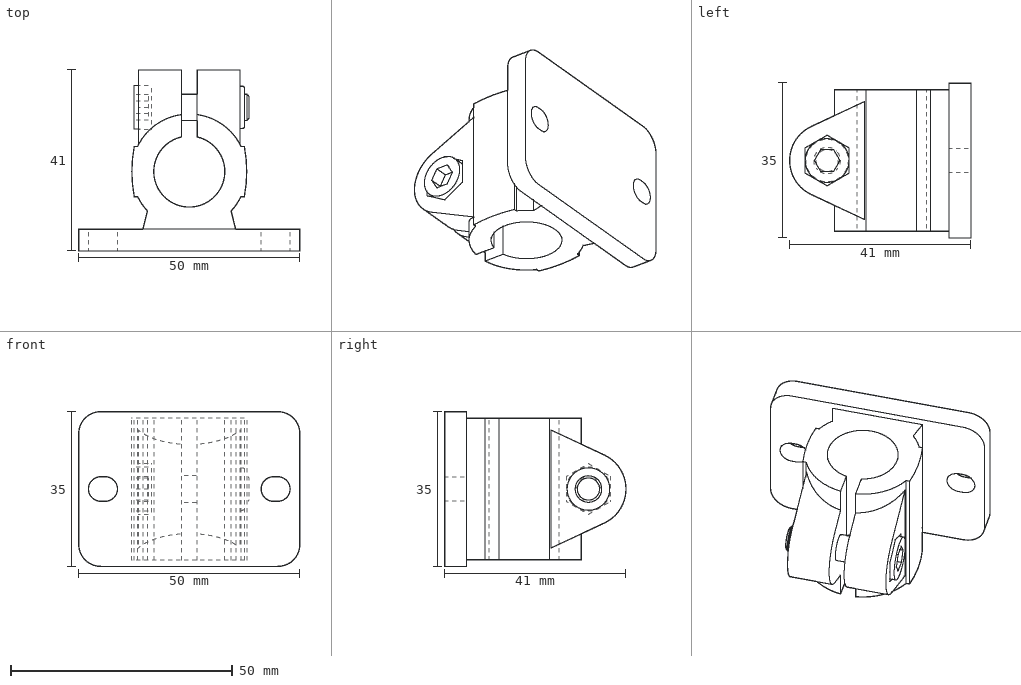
import cadquery as cq
import math

plate_length = 50.0
plate_thickness = 5.0
plate_height = 35.0
plate_corner_radius = 5.0
slot_spacing = 39.0
slot_length = 6.5
slot_width = 5.5

ring_radius = 13.0
bore_diameter = 16.0
ring_center_y = 18.0
ring_height = 32.0
split_width = 3.5
foot_bottom_width = 21.0
foot_top_width = 18.9
foot_top_y = 9.2

pad_half_length = 5.7
pad_edge_x = 12.45

lug_outer_x = 11.5
lug_radius = 8.5
lug_flank_angle = math.radians(25.0)
bolt_y = 32.5

bolt_diameter = 6.0
bolt_end_x = 13.5
bolt_chamfer = 0.5
head_diameter = 9.9
head_protrusion = 1.0
head_pocket_depth = 3.0
socket_across_flats = 5.0
socket_depth = 3.25

collar_diameter = 9.6
collar_length = 1.0
collar_fillet = 0.5


def hexagon_diameter(across_flats):
    """Corner-to-corner diameter of a regular hexagon."""
    return across_flats / math.cos(math.radians(30.0))


def prism_along_z(sketch):
    """Extrude an XY outline over the ring height, centred on Z = 0."""
    return sketch.extrude(ring_height / 2, both=True)


def make_plate():
    plate = (
        cq.Workplane("XY")
        .box(plate_length, plate_thickness, plate_height, centered=(True, False, True))
        .edges("|Y")
        .fillet(plate_corner_radius)
    )
    slots = (
        cq.Workplane("XZ")
        .pushPoints([(-slot_spacing / 2, 0), (slot_spacing / 2, 0)])
        .slot2D(slot_length, slot_width)
        .extrude(-plate_thickness)
    )
    return plate.cut(slots)


def make_ring():
    ring = prism_along_z(cq.Workplane("XY").center(0, ring_center_y).circle(ring_radius))
    pads = prism_along_z(
        cq.Workplane("XY")
        .center(0, ring_center_y)
        .moveTo(-pad_edge_x, -pad_half_length)
        .lineTo(pad_edge_x, -pad_half_length)
        .threePointArc((ring_radius, 0), (pad_edge_x, pad_half_length))
        .lineTo(-pad_edge_x, pad_half_length)
        .threePointArc((-ring_radius, 0), (-pad_edge_x, -pad_half_length))
        .close()
    )
    foot = prism_along_z(
        cq.Workplane("XY").polyline(
            [
                (-foot_bottom_width / 2, plate_thickness),
                (foot_bottom_width / 2, plate_thickness),
                (foot_top_width / 2, foot_top_y),
                (-foot_top_width / 2, foot_top_y),
            ]
        ).close()
    )
    return ring.union(pads).union(foot)


def make_lugs():
    base_y = ring_center_y + math.sqrt(ring_radius**2 - lug_outer_x**2)
    tangent_y = bolt_y + lug_radius * math.sin(lug_flank_angle)
    tangent_z = lug_radius * math.cos(lug_flank_angle)
    base_z = tangent_z + (tangent_y - base_y) * math.tan(lug_flank_angle)
    return (
        cq.Workplane("YZ")
        .moveTo(base_y, -base_z)
        .lineTo(tangent_y, -tangent_z)
        .threePointArc((bolt_y + lug_radius, 0), (tangent_y, tangent_z))
        .lineTo(base_y, base_z)
        .close()
        .extrude(lug_outer_x, both=True)
    )


def make_clearance():
    """Bore and the split that opens it between the lugs."""
    bore = prism_along_z(cq.Workplane("XY").center(0, ring_center_y).circle(bore_diameter / 2))
    split_length = bolt_y + lug_radius - ring_center_y
    split = prism_along_z(
        cq.Workplane("XY").center(0, ring_center_y + split_length / 2).rect(split_width, split_length)
    )
    return bore.union(split)


def bolt_plane(x):
    """Plane across the bolt axis at the given X, facing +X."""
    return cq.Workplane("YZ", origin=(x, bolt_y, 0))


def make_head_pocket():
    return (
        bolt_plane(-lug_outer_x)
        .transformed(rotate=(0, 0, 90))
        .polygon(6, hexagon_diameter(head_diameter))
        .extrude(head_pocket_depth)
    )


def make_bolt():
    head_x = -lug_outer_x - head_protrusion
    head = bolt_plane(head_x).circle(head_diameter / 2).extrude(head_protrusion + head_pocket_depth)
    shank = (
        bolt_plane(-lug_outer_x)
        .circle(bolt_diameter / 2)
        .extrude(lug_outer_x + bolt_end_x)
        .faces(">X")
        .chamfer(bolt_chamfer)
    )
    socket = bolt_plane(head_x).polygon(6, hexagon_diameter(socket_across_flats)).extrude(socket_depth)
    return head.union(shank).cut(socket)


def make_collar():
    return (
        bolt_plane(lug_outer_x)
        .circle(collar_diameter / 2)
        .extrude(collar_length)
        .faces(">X")
        .edges()
        .fillet(collar_fillet)
    )


clamp = make_ring().union(make_lugs()).cut(make_clearance()).cut(make_head_pocket())
result = make_plate().union(clamp).union(make_bolt()).union(make_collar())